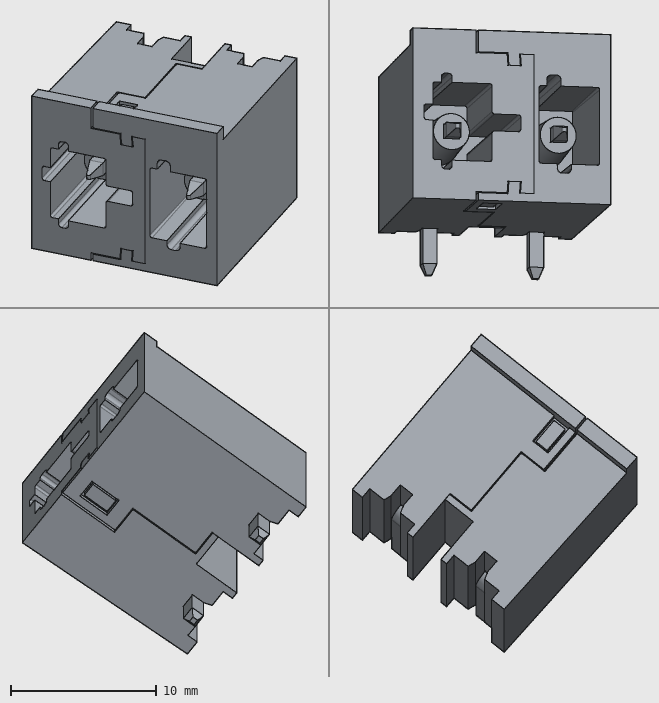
import cadquery as cq
import math

WIDTH = 13.9
DEPTH = 14.0
BODY_HEIGHT = 10.9
MID_HEIGHT = BODY_HEIGHT / 2
LIP_HEIGHT = 1.0
LIP_THICKNESS = 1.1
SIDE_DRAFT_ANGLE = 1.5

PIN_PITCH = 7.5
LEFT_PIN_X = 3.5
RIGHT_PIN_X = LEFT_PIN_X + PIN_PITCH
PIN_SIZE = 1.0
PIN_REAR_Y = 12.65
PIN_LEG_FRONT_Y = PIN_REAR_Y - PIN_SIZE
PIN_NOSE_Y = 1.7
PIN_NOSE_SIZE = 0.3
PIN_NOSE_TAPER = 1.5
PIN_NOSE_ROUNDING = 0.12
PIN_PROTRUSION = 3.2
PIN_FOOT_SIZE = 0.4
PIN_FOOT_TAPER = 0.75

SEAM_X = 4.45
SEAM_GAP = 0.15
STEP_X = 6.55
STEP_Y = 4.6
GAP = 0.07
BRIDGE_FRONT_Y = 10.02
BRIDGE_REAR_Y = 10.5
TONGUE_X = 8.5
TONGUE_HALF_HEIGHT = 4.86
HOOK_DEPTH = 0.8
HOOK_LEFT = 6.69
HOOK_RIGHT = 7.49
HOOK_SLANT = 0.06

LATCH_X = (5.32, 6.31)
LATCH_Y = (1.33, 3.3)
LATCH_RECESS = 0.15
WINDOW_X = (5.13, 6.49)
WINDOW_Y = (LIP_THICKNESS, 3.43)

REAR_GAP_LEFT_X = 6.0
REAR_RECESS_Y = 13.2
LEFT_RECESS_X = (1.48, 5.5)
RIGHT_RECESS_X = (9.0, 13.0)
PIN_SLOT_WIDTH = 1.1
FUNNEL_WIDTH = 1.47

SOCKET_DEPTH = 9.0
SOCKET_HALF_HEIGHT = 2.72
SOCKET_ROUNDING = 0.17
LEFT_SOCKET_X = (1.42, 5.57)
RIGHT_SOCKET_X = (8.87, 13.12)
RIGHT_SOCKET_SHRINK = 0.12
KEYWAY_HALF_HEIGHT = 3.35
LEFT_KEYWAY_X = (2.03, 2.76)
LEFT_KEYWAY_ROUNDING = 0.25
SIDE_KEYWAY_X = 0.8
SIDE_KEYWAY_Z = (5.5, 6.6)
BLADE_SLOT_X = 7.58
BLADE_SLOT_Z = (4.88, 6.06)
RIGHT_TOP_KEYWAY_X = (9.42, 10.4)
RIGHT_TOP_KEYWAY_Z = 8.94
RIGHT_BOTTOM_KEYWAY_X = (10.15, 11.13)
RIGHT_KEYWAY_ROUNDING = 0.33
COLLAR_RADIUS = 1.5
COLLAR_TOP_RADIUS = 1.26
COLLAR_HEIGHT = 5.0


def block(x_range, y_range, z_range):
    """Box spanning the given ranges."""
    size = [end - start for start, end in (x_range, y_range, z_range)]
    corner = (x_range[0], y_range[0], z_range[0])
    return cq.Workplane("XY").box(*size, centered=False).translate(corner)


def plan_prism(points, bottom, top):
    """Outline in X and Y, extruded from one height to another."""
    return cq.Workplane("XY").workplane(offset=bottom).polyline(points).close().extrude(top - bottom)


def front_prism(points, depth):
    """Outline in X and Z, extruded back from the front face."""
    return cq.Workplane("XZ").polyline(points).close().extrude(-depth)


def flipped(shape):
    """Mirror image of a shape about the middle height of the body."""
    lowered = shape.translate((0, 0, -MID_HEIGHT))
    return lowered.mirror("XY").translate((0, 0, MID_HEIGHT))


def rounded_block(x_range, z_range, edges, radius):
    """Socket-deep block from the front face with some of its lengthwise edges rounded."""
    return block(x_range, (0, SOCKET_DEPTH), z_range).edges("|Y").edges(edges).fillet(radius)


def pin_passage(pin_x):
    """Hole for the pin behind the socket, and the upright slot with a funnel at the back."""
    half_slot = PIN_SLOT_WIDTH / 2
    half_funnel = FUNNEL_WIDTH / 2
    half_pin = PIN_SIZE / 2
    hole = block(
        (pin_x - half_slot, pin_x + half_slot),
        (SOCKET_DEPTH - COLLAR_HEIGHT, PIN_REAR_Y),
        (MID_HEIGHT - half_pin, MID_HEIGHT + half_pin),
    )
    slot_outline = [
        (pin_x - half_slot, PIN_LEG_FRONT_Y),
        (pin_x + half_slot, PIN_LEG_FRONT_Y),
        (pin_x + half_slot, PIN_REAR_Y),
        (pin_x + half_funnel, REAR_RECESS_Y),
        (pin_x - half_funnel, REAR_RECESS_Y),
        (pin_x - half_slot, PIN_REAR_Y),
    ]
    return hole.union(plan_prism(slot_outline, 0, BODY_HEIGHT))


def rear_recess(x_range):
    """Shallow full-height recess in the back face."""
    return block(x_range, (REAR_RECESS_Y, DEPTH), (0, BODY_HEIGHT))


def collar(pin_x):
    """Conical collar around the pin on the socket floor."""
    base = cq.Workplane("XZ", origin=(pin_x, SOCKET_DEPTH, MID_HEIGHT)).circle(COLLAR_RADIUS)
    return base.workplane(offset=COLLAR_HEIGHT).circle(COLLAR_TOP_RADIUS).loft()


def tongue():
    """Tongue reaching into the right housing, with slanted hook notches above and below."""
    top = MID_HEIGHT + TONGUE_HALF_HEIGHT
    body = block((SEAM_X, TONGUE_X), (0, BRIDGE_REAR_Y), (2 * MID_HEIGHT - top, top))
    notch_outline = [
        (HOOK_LEFT - GAP, top),
        (HOOK_LEFT - GAP + HOOK_SLANT, top - HOOK_DEPTH),
        (HOOK_RIGHT + GAP + HOOK_SLANT, top - HOOK_DEPTH),
        (HOOK_RIGHT + GAP, top),
    ]
    notch = front_prism(notch_outline, BRIDGE_FRONT_Y)
    bump = block(LATCH_X, LATCH_Y, (top, BODY_HEIGHT - LATCH_RECESS))
    return body.cut(notch).cut(flipped(notch)).union(bump).union(flipped(bump))


def left_socket():
    """Socket with keyways above, below and at the left, and a blade slot at the right."""
    chamber = rounded_block(
        LEFT_SOCKET_X,
        (MID_HEIGHT - SOCKET_HALF_HEIGHT, MID_HEIGHT + SOCKET_HALF_HEIGHT),
        "|Y",
        SOCKET_ROUNDING,
    )
    blade_slot = block((LEFT_PIN_X, BLADE_SLOT_X), (0, SOCKET_DEPTH), BLADE_SLOT_Z)
    margin = SOCKET_ROUNDING / 2
    slot_corners = cq.selectors.BoxSelector(
        (LEFT_SOCKET_X[1] - margin, 0, BLADE_SLOT_Z[0] - margin),
        (BLADE_SLOT_X + margin, SOCKET_DEPTH, BLADE_SLOT_Z[1] + margin),
    )
    upper_keyway = rounded_block(
        LEFT_KEYWAY_X, (MID_HEIGHT, MID_HEIGHT + KEYWAY_HALF_HEIGHT), ">Z", LEFT_KEYWAY_ROUNDING
    )
    side_keyway = rounded_block((SIDE_KEYWAY_X, LEFT_PIN_X), SIDE_KEYWAY_Z, "<X", SOCKET_ROUNDING)
    chamber = chamber.union(blade_slot).edges("|Y").edges(slot_corners).fillet(SOCKET_ROUNDING)
    return chamber.union(upper_keyway).union(flipped(upper_keyway)).union(side_keyway)


def left_housing():
    """Housing with the tongue, the bridge to its neighbour and a drafted left wall."""

    def side_x(y):
        return y * math.tan(math.radians(SIDE_DRAFT_ANGLE))

    outline = [
        (0, 0),
        (SEAM_X, 0),
        (SEAM_X, STEP_Y),
        (STEP_X, STEP_Y),
        (STEP_X, BRIDGE_FRONT_Y),
        (TONGUE_X, BRIDGE_FRONT_Y),
        (TONGUE_X, BRIDGE_REAR_Y),
        (REAR_GAP_LEFT_X, BRIDGE_REAR_Y),
        (REAR_GAP_LEFT_X, DEPTH),
        (side_x(DEPTH), DEPTH),
    ]
    lip_outline = [(0, 0), (SEAM_X, 0), (SEAM_X, LIP_THICKNESS), (side_x(LIP_THICKNESS), LIP_THICKNESS)]
    body = plan_prism(outline, 0, BODY_HEIGHT)
    body = body.union(plan_prism(lip_outline, BODY_HEIGHT, BODY_HEIGHT + LIP_HEIGHT)).union(tongue())
    body = body.cut(left_socket()).union(collar(LEFT_PIN_X))
    return body.cut(pin_passage(LEFT_PIN_X)).cut(rear_recess(LEFT_RECESS_X))


def hooked_plate():
    """Plate over the tongue, with a slanted hook underneath and a latch window."""
    underside = MID_HEIGHT + TONGUE_HALF_HEIGHT
    left = SEAM_X + SEAM_GAP
    outline = [
        (left, underside + GAP),
        (HOOK_LEFT, underside + GAP),
        (HOOK_LEFT + HOOK_SLANT, underside - HOOK_DEPTH),
        (HOOK_RIGHT + HOOK_SLANT, underside - HOOK_DEPTH),
        (HOOK_RIGHT, underside),
        (TONGUE_X, underside),
        (TONGUE_X, BODY_HEIGHT),
        (left, BODY_HEIGHT),
    ]
    plate = front_prism(outline, BRIDGE_FRONT_Y - GAP)
    heights = (MID_HEIGHT, BODY_HEIGHT)
    step = block((left, STEP_X + GAP), (STEP_Y - GAP, BRIDGE_FRONT_Y), heights)
    window = block(WINDOW_X, WINDOW_Y, heights)
    return plate.cut(step).cut(window)


def right_socket():
    """Socket whose four walls draw in toward the floor, with a keyway above and one below."""
    taper = math.degrees(math.atan(RIGHT_SOCKET_SHRINK / SOCKET_DEPTH))
    chamber = (
        cq.Workplane("XZ", origin=(sum(RIGHT_SOCKET_X) / 2, 0, MID_HEIGHT))
        .sketch()
        .rect(RIGHT_SOCKET_X[1] - RIGHT_SOCKET_X[0], 2 * SOCKET_HALF_HEIGHT)
        .vertices()
        .fillet(SOCKET_ROUNDING)
        .finalize()
        .extrude(-SOCKET_DEPTH, taper=taper)
    )
    upper_keyway = rounded_block(
        RIGHT_TOP_KEYWAY_X, (MID_HEIGHT, RIGHT_TOP_KEYWAY_Z), ">Z", RIGHT_KEYWAY_ROUNDING
    )
    lower_keyway = rounded_block(
        RIGHT_BOTTOM_KEYWAY_X, (MID_HEIGHT - KEYWAY_HALF_HEIGHT, MID_HEIGHT), "<Z", RIGHT_KEYWAY_ROUNDING
    )
    return chamber.union(upper_keyway).union(lower_keyway)


def right_housing():
    """Housing with hooked plates that hold the tongue from above and below."""
    body = block((TONGUE_X, WIDTH), (0, DEPTH), (0, BODY_HEIGHT))
    body = body.union(hooked_plate()).union(flipped(hooked_plate()))
    lip_heights = (BODY_HEIGHT, BODY_HEIGHT + LIP_HEIGHT)
    body = body.union(block((SEAM_X + SEAM_GAP, WIDTH), (0, LIP_THICKNESS), lip_heights))
    body = body.cut(right_socket()).union(collar(RIGHT_PIN_X))
    return body.cut(pin_passage(RIGHT_PIN_X)).cut(rear_recess(RIGHT_RECESS_X))


def pin(pin_x):
    """Right-angle square pin with a pointed nose, a rounded bend and a tapered foot."""
    half = PIN_SIZE / 2
    top = MID_HEIGHT + half
    shoulder_y = PIN_NOSE_Y + PIN_NOSE_TAPER
    shoulder_z = PIN_FOOT_TAPER - PIN_PROTRUSION
    shank = (
        cq.Workplane("YZ", origin=(pin_x, 0, 0))
        .moveTo(shoulder_y, top)
        .lineTo(PIN_LEG_FRONT_Y, top)
        .radiusArc((PIN_REAR_Y, top - PIN_SIZE), PIN_SIZE)
        .lineTo(PIN_REAR_Y, shoulder_z)
        .lineTo(PIN_LEG_FRONT_Y, shoulder_z)
        .lineTo(PIN_LEG_FRONT_Y, top - PIN_SIZE)
        .lineTo(shoulder_y, top - PIN_SIZE)
        .close()
        .extrude(half, both=True)
    )
    half_tip = PIN_NOSE_SIZE / 2
    arc_ends_y = PIN_NOSE_Y + PIN_NOSE_ROUNDING
    nose_plan = (
        cq.Workplane("XY", origin=(pin_x, 0, MID_HEIGHT))
        .moveTo(-half, shoulder_y)
        .lineTo(-half_tip, arc_ends_y)
        .threePointArc((0, PIN_NOSE_Y), (half_tip, arc_ends_y))
        .lineTo(half, shoulder_y)
        .close()
        .extrude(half, both=True)
    )
    nose_side = (
        cq.Workplane("YZ", origin=(pin_x, 0, MID_HEIGHT))
        .polyline([(shoulder_y, half), (PIN_NOSE_Y, half_tip), (PIN_NOSE_Y, -half_tip), (shoulder_y, -half)])
        .close()
        .extrude(half, both=True)
    )
    nose = nose_plan.intersect(nose_side)
    foot = (
        cq.Workplane("XY", origin=(pin_x, PIN_REAR_Y - half, shoulder_z))
        .rect(PIN_SIZE, PIN_SIZE)
        .workplane(offset=-PIN_FOOT_TAPER)
        .rect(PIN_FOOT_SIZE, PIN_FOOT_SIZE)
        .loft()
    )
    return shank.union(nose).union(foot)


pins = [pin(pin_x).val() for pin_x in (LEFT_PIN_X, RIGHT_PIN_X)]
result = cq.Compound.makeCompound([left_housing().val(), right_housing().val(), *pins])